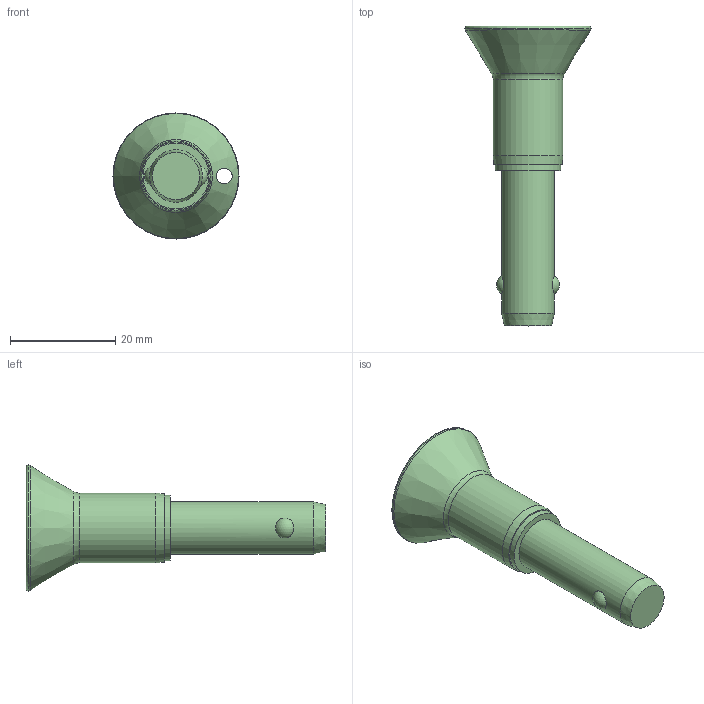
import cadquery as cq
import math


head_radius = 12.0
rim_radius = 0.5
neck_radius = 6.65
neck_fillet = 2.0
knob_length = 27.5
neck_end_from_top = 10.1
lanyard_hole_diameter = 3.0
lanyard_hole_x = 9.2

collar_radius = 6.28
collar_length = 1.2
taper_length = 1.6
taper_end_radius = 6.5

shank_radius = 5.0
shank_length = 29.6
tip_length = 2.4
tip_radius = 4.5

ball_radius = 2.0
ball_centre_x = 4.0
ball_y = -21.75


def offset(centre, distance, angle):
    """Point at a distance from a centre, along an angle in radians."""
    return (
        centre[0] + distance * math.cos(angle),
        centre[1] + distance * math.sin(angle),
    )


def make_body():
    """Revolve the half outline of knob and shank about the Y axis."""
    rim_centre = (head_radius - rim_radius, knob_length - rim_radius)
    fillet_centre = (neck_radius + neck_fillet, knob_length - neck_end_from_top)

    dx = rim_centre[0] - fillet_centre[0]
    dy = rim_centre[1] - fillet_centre[1]
    line_lean = math.acos(-(rim_radius + neck_fillet) / math.hypot(dx, dy))
    cone_normal = math.atan2(dy, dx) - line_lean

    rim_top = offset(rim_centre, rim_radius, math.pi / 2)
    rim_upper = offset(rim_centre, rim_radius, math.pi / 4)
    rim_side = offset(rim_centre, rim_radius, 0)
    rim_lower = offset(rim_centre, rim_radius, cone_normal / 2)
    cone_top = offset(rim_centre, rim_radius, cone_normal)
    cone_bottom = offset(fillet_centre, -neck_fillet, cone_normal)
    fillet_middle = offset(fillet_centre, -neck_fillet, cone_normal / 2)
    fillet_end = offset(fillet_centre, -neck_fillet, 0)

    outline = (
        cq.Workplane("XY")
        .moveTo(0, knob_length)
        .lineTo(*rim_top)
        .threePointArc(rim_upper, rim_side)
        .threePointArc(rim_lower, cone_top)
        .lineTo(*cone_bottom)
        .threePointArc(fillet_middle, fillet_end)
        .lineTo(neck_radius, collar_length + taper_length)
        .lineTo(taper_end_radius, collar_length)
        .lineTo(collar_radius, collar_length)
        .lineTo(collar_radius, 0)
        .lineTo(shank_radius, 0)
        .lineTo(shank_radius, tip_length - shank_length)
        .lineTo(tip_radius, -shank_length)
        .lineTo(0, -shank_length)
        .close()
    )
    return outline.revolve(360, (0, 0, 0), (0, 1, 0))


def add_balls(body):
    """Seat one locking ball on each side of the shank."""
    for side in (-1, 1):
        ball = cq.Workplane("XY").sphere(ball_radius)
        body = body.union(ball.translate((side * ball_centre_x, ball_y, 0)))
    return body


def cut_lanyard_hole(body):
    """Drill the lanyard hole through the flared head, parallel to the axis."""
    hole = (
        cq.Workplane("XZ")
        .center(lanyard_hole_x, 0)
        .circle(lanyard_hole_diameter / 2)
        .extrude(-knob_length)
    )
    return body.cut(hole)


result = cut_lanyard_hole(add_balls(make_body()))